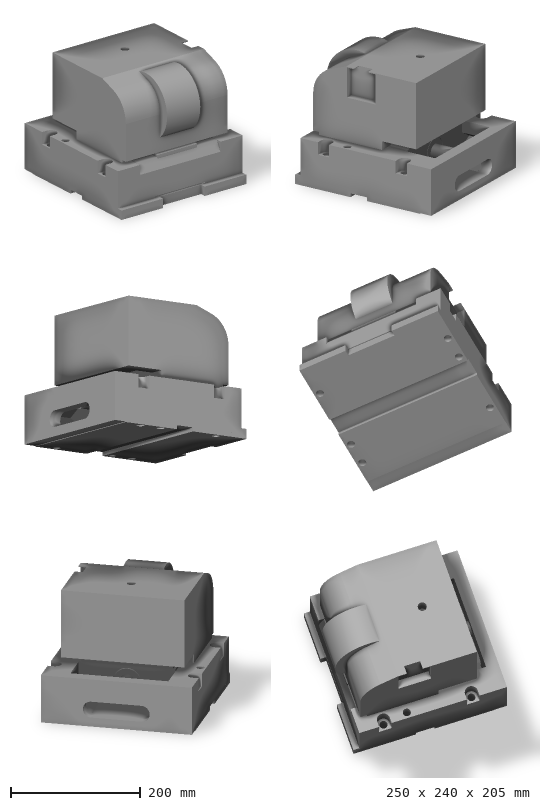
import cadquery as cq
import math

EPS = 2.5

BASE_WIDTH = 240.0
BASE_LENGTH = 240.5
BASE_HEIGHT = 78.2
OVERALL_LENGTH = 250.0
LEDGE_HEIGHT = 15.8
LEDGE_GAP = 80.0
RELIEF_LENGTH = 20.5
RELIEF_HEIGHT = 1.0
KEYWAY_START = 118.0
KEYWAY_END = 148.2
KEYWAY_DEPTH = 6.2
END_WALL = 20.0

VEE_ANGLE = math.radians(30)
FLOOR_HEIGHT = 15.8
FLOOR_HALF = 43.2
VEE_HALF = 97.2
GUIDE_NECK_HALF = 77.8

HOLE_RADIUS = 6.2
HOLE_Y = 110.8
BOLT_XS = (55.0, 198.0)
DOWEL_POINTS = ((160.0, HOLE_Y), (93.0, -HOLE_Y))
BOLT_RECESS_RADIUS = 10.2
BOLT_SEAT_HEIGHT = 57.5
PINHOLE_RADIUS = 0.8
PINHOLE_DEPTH = 2.5
PINHOLE_X = 220.8
PINHOLE_Z = 6.0

SLOT_LENGTH = 106.0
SLOT_HEIGHT = 26.0
SLOT_CENTRE_Z = 28.8

HEAD_START = 41.8
HEAD_END = 231.2
HEAD_WIDTH = 196.0
HEAD_TOP = 205.0
HEAD_UNDERSIDE = 95.0
SKIRT_START = 104.5
SKIRT_END = 220.8
SKIRT_BOTTOM = 80.5
REAR_UNDERSIDE = 85.5
TOP_FLAT_END = 170.5
TOP_SLOPE = math.radians(20)
REAR_RADIUS = 49.0
TONGUE_START = 74.0
TONGUE_HALF = 73.0
NOTCH_START = 129.8
NOTCH_END = 155.8
NOTCH_DEPTH = 13.0
LIP_THICKNESS = 1.5
POCKET_OVERHANG = 13.5
POCKET_HEIGHT = 50.0
TOP_HOLE_X = 97.8
TOP_HOLE_RADIUS = 7.0
TOP_HOLE_DEPTH = 25.0
DRILL_TIP_ANGLE = math.radians(118)

DRUM_RADIUS = 54.8
DRUM_X = 194.5
DRUM_Z = HEAD_TOP - DRUM_RADIUS
DRUM_WIDTH = 64.0

SLIDE_START = 71.0
SLIDE_NECK_HALF = 77.0
SLIDE_STEP_TOP = 83.2
SLIDE_FLOOR_GAP = 2.8
BEVEL_START = 232.0
BEVEL_ANGLE = math.radians(63)
TAB_END = 233.0
TAB_HALF = 38.2
TAB_TOP = 82.5
TAB_HEIGHT = 15.0

SCREW_Z = 53.2
SHANK_RADIUS = 12.0
TIP_RADIUS = 12.8
TIP_LENGTH = 3.0
HUB_RADIUS = 22.5
HUB_LENGTH = 25.0
HUB_CHAMFER = 1.2


def block(x0, x1, y0, y1, z0, z1):
    """Box given by its limits along each axis."""
    return cq.Workplane("XY").box(x1 - x0, y1 - y0, z1 - z0, centered=False).translate((x0, y0, z0))


def vee_bar(x0, x1, neck_half, top, floor_gap=0.0):
    """Bar along X with a flat floor, sides flaring to a vee, and a straight neck above.

    The floor sits floor_gap above the guideway floor, on the same vee flanks.
    """
    slope = math.tan(VEE_ANGLE)
    vee_height = FLOOR_HEIGHT + (VEE_HALF - FLOOR_HALF) * slope
    neck_height = vee_height + (VEE_HALF - neck_half) * slope
    right_side = [
        (FLOOR_HALF + floor_gap / slope, FLOOR_HEIGHT + floor_gap),
        (VEE_HALF, vee_height),
        (neck_half, neck_height),
        (neck_half, top),
    ]
    left_side = [(-y, z) for y, z in reversed(right_side)]
    profile = cq.Workplane("YZ", origin=(x0, 0, 0)).polyline(right_side + left_side).close()
    return profile.extrude(x1 - x0)


def cylinder_z(x, y, radius, z0, z1):
    return cq.Workplane("XY", origin=(x, y, z0)).circle(radius).extrude(z1 - z0)


def bolt_recess(x, side):
    """Round-ended recess, open at the nearer long side of the base."""
    top = BASE_HEIGHT + EPS
    round_end = cylinder_z(x, side * HOLE_Y, BOLT_RECESS_RADIUS, BOLT_SEAT_HEIGHT, top)
    y_inner, y_outer = sorted((side * HOLE_Y, side * (BASE_WIDTH / 2 + EPS)))
    mouth = block(x - BOLT_RECESS_RADIUS, x + BOLT_RECESS_RADIUS, y_inner, y_outer, BOLT_SEAT_HEIGHT, top)
    return round_end.union(mouth)


def make_base():
    half = BASE_WIDTH / 2
    base = block(0, BASE_LENGTH, -half, half, 0, BASE_HEIGHT)

    base = base.union(block(BASE_LENGTH, OVERALL_LENGTH, -half, half, 0, LEDGE_HEIGHT))
    gap_half = LEDGE_GAP / 2
    base = base.cut(block(BASE_LENGTH, OVERALL_LENGTH + EPS, -gap_half, gap_half, -EPS, LEDGE_HEIGHT + EPS))

    base = base.cut(block(-EPS, RELIEF_LENGTH, -half - EPS, half + EPS, -EPS, RELIEF_HEIGHT))
    base = base.cut(block(KEYWAY_START, KEYWAY_END, -half - EPS, half + EPS, -EPS, KEYWAY_DEPTH))

    base = base.cut(vee_bar(END_WALL, BASE_LENGTH + EPS, GUIDE_NECK_HALF, BASE_HEIGHT + EPS))

    slot = cq.Workplane("YZ", origin=(0, 0, SLOT_CENTRE_Z)).slot2D(SLOT_LENGTH, SLOT_HEIGHT)
    base = base.cut(slot.extrude(END_WALL))

    bolt_points = [(x, side * HOLE_Y) for x in BOLT_XS for side in (-1, 1)]
    for x, y in bolt_points + list(DOWEL_POINTS):
        base = base.cut(cylinder_z(x, y, HOLE_RADIUS, -EPS, BASE_HEIGHT + EPS))
    for x in BOLT_XS:
        for side in (-1, 1):
            base = base.cut(bolt_recess(x, side))

    pinhole = cq.Workplane("XZ", origin=(PINHOLE_X, -half, PINHOLE_Z)).circle(PINHOLE_RADIUS)
    return base.cut(pinhole.extrude(-PINHOLE_DEPTH))


def make_head_block():
    """Main block: flat top, sloped shoulder, rounded rear and stepped underside."""
    centre_x = HEAD_END - REAR_RADIUS
    shoulder_x = centre_x + REAR_RADIUS * math.sin(TOP_SLOPE)
    shoulder_z = HEAD_TOP - (shoulder_x - TOP_FLAT_END) * math.tan(TOP_SLOPE)
    centre_z = shoulder_z - REAR_RADIUS * math.cos(TOP_SLOPE)
    mid_angle = (TOP_SLOPE + math.pi / 2) / 2
    arc_middle = (
        centre_x + REAR_RADIUS * math.sin(mid_angle),
        centre_z + REAR_RADIUS * math.cos(mid_angle),
    )
    profile = (
        cq.Workplane("XZ", origin=(0, HEAD_WIDTH / 2, 0))
        .moveTo(HEAD_START, HEAD_UNDERSIDE)
        .lineTo(HEAD_START, HEAD_TOP)
        .lineTo(TOP_FLAT_END, HEAD_TOP)
        .lineTo(shoulder_x, shoulder_z)
        .threePointArc(arc_middle, (HEAD_END, centre_z))
        .lineTo(HEAD_END, REAR_UNDERSIDE)
        .lineTo(SKIRT_END, REAR_UNDERSIDE)
        .lineTo(SKIRT_END, SKIRT_BOTTOM)
        .lineTo(SKIRT_START, SKIRT_BOTTOM)
        .lineTo(SKIRT_START, HEAD_UNDERSIDE)
        .close()
    )
    return profile.extrude(HEAD_WIDTH)


def make_slide():
    """Vee slide with a bevelled rear end, a stepped top and a narrow rear tab."""
    slide = vee_bar(SLIDE_START, BASE_LENGTH, SLIDE_NECK_HALF, BASE_HEIGHT, SLIDE_FLOOR_GAP)
    bevel_drop = (BASE_LENGTH - BEVEL_START) * math.tan(BEVEL_ANGLE)
    bevel = (
        cq.Workplane("XZ", origin=(0, BASE_WIDTH / 2, 0))
        .moveTo(BEVEL_START, BASE_HEIGHT)
        .lineTo(BASE_LENGTH, BASE_HEIGHT)
        .lineTo(BASE_LENGTH, BASE_HEIGHT - bevel_drop)
        .close()
        .extrude(BASE_WIDTH)
    )
    slide = slide.cut(bevel)
    for half, bottom, top in (
        (SLIDE_NECK_HALF, BASE_HEIGHT, SKIRT_BOTTOM),
        (TONGUE_HALF, SKIRT_BOTTOM, SLIDE_STEP_TOP),
    ):
        slide = slide.union(block(SLIDE_START, SKIRT_END, -half, half, bottom, top))
    return slide.union(block(SKIRT_START, TAB_END, -TAB_HALF, TAB_HALF, TAB_TOP - TAB_HEIGHT, TAB_TOP))


def top_hole():
    """Blind drilled hole with a conical bottom."""
    tip = TOP_HOLE_RADIUS / math.tan(DRILL_TIP_ANGLE / 2)
    half_section = [
        (0, HEAD_TOP),
        (TOP_HOLE_RADIUS, HEAD_TOP),
        (TOP_HOLE_RADIUS, HEAD_TOP - TOP_HOLE_DEPTH),
        (0, HEAD_TOP - TOP_HOLE_DEPTH - tip),
    ]
    section = cq.Workplane("XZ", origin=(TOP_HOLE_X, 0, 0)).polyline(half_section).close()
    return section.revolve(360, (0, 0), (0, 1))


def make_screw():
    """Screw along X: flared tip at the end wall, plain shank, hub sunk into the slide."""
    half_section = [
        (END_WALL, 0),
        (END_WALL, TIP_RADIUS),
        (END_WALL + TIP_LENGTH, SHANK_RADIUS),
        (SLIDE_START, SHANK_RADIUS),
        (SLIDE_START, HUB_RADIUS - HUB_CHAMFER),
        (SLIDE_START + HUB_CHAMFER, HUB_RADIUS),
        (SLIDE_START + HUB_LENGTH, HUB_RADIUS),
        (SLIDE_START + HUB_LENGTH, 0),
    ]
    section = cq.Workplane("XZ", origin=(0, 0, SCREW_Z)).polyline(half_section).close()
    return section.revolve(360, (0, 0), (1, 0))


def make_head():
    head = make_head_block().union(make_slide())

    head = head.union(
        block(TONGUE_START, SKIRT_START, -TONGUE_HALF, TONGUE_HALF, SLIDE_STEP_TOP, HEAD_UNDERSIDE)
    )

    drum = cq.Workplane("XZ", origin=(DRUM_X, DRUM_WIDTH / 2, DRUM_Z)).circle(DRUM_RADIUS)
    head = head.union(drum.extrude(DRUM_WIDTH))

    y_outer = HEAD_WIDTH / 2
    y_inner = y_outer - NOTCH_DEPTH
    pocket_top = HEAD_TOP - LIP_THICKNESS
    pocket_bottom = pocket_top - POCKET_HEIGHT
    pocket_start = NOTCH_START - POCKET_OVERHANG
    pocket_end = NOTCH_END + POCKET_OVERHANG
    head = head.cut(block(pocket_start, pocket_end, y_inner, y_outer + EPS, pocket_bottom, pocket_top))
    head = head.cut(block(NOTCH_START, NOTCH_END, y_inner, y_outer + EPS, pocket_bottom, HEAD_TOP + EPS))

    head = head.cut(top_hole())
    hub_bore = cq.Workplane("YZ", origin=(SLIDE_START, 0, SCREW_Z)).circle(HUB_RADIUS)
    return head.cut(hub_bore.extrude(HUB_LENGTH))


base = make_base()
head = make_head()
screw = make_screw()
result = cq.Compound.makeCompound([base.solids().val(), head.solids().val(), screw.val()])